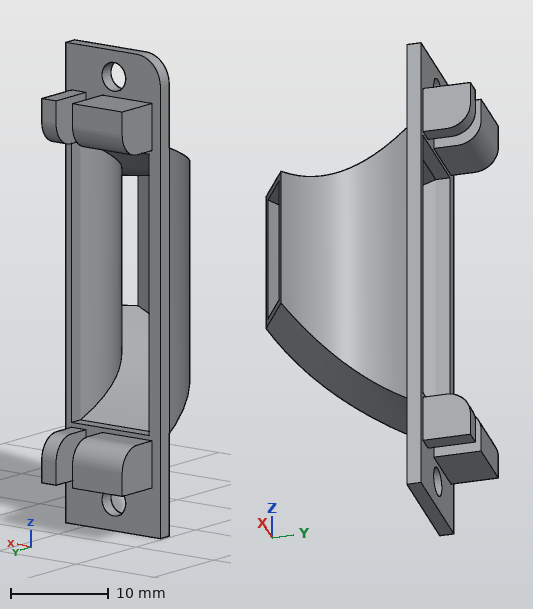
import cadquery as cq
import math

plate_width = 12.15
plate_height = 50.3
plate_thickness = 1.5
corner_radius = 3
hole_diameter = 3
hole_x = 6.0
hole_heights = (3.05, 47.55)

peg_depth = 5.05
peg_height = 4.95
peg_radius = 2.5
lower_peg_bottom = 5.2
upper_peg_bottom = 40.5
peg_spans = ((1.05, 7.45), (9.55, 11.4))

wall = 0.75
inlet = ((0.7, 0), (plate_width, 0), 9.85, 40.8)
middle = ((4.25, -8.95), (12.05, -6.45), 14.65, 36.95)
outlet = ((14.15, -14.4), (19.25, -11.3), 18.85, 33.95)


def make_plate():
    plate = cq.Workplane("XY").box(plate_width, plate_thickness, plate_height, centered=False)
    return plate.edges("|Y and <X and >Z").fillet(corner_radius)


def make_pegs(bottom, rounded_edge):
    """Row of pegs with one long back edge rounded."""
    pegs = cq.Workplane("XY")
    for start, end in peg_spans:
        peg = (
            cq.Workplane("XY", origin=(start, plate_thickness, bottom))
            .box(end - start, peg_depth, peg_height, centered=False)
            .edges(rounded_edge)
            .fillet(peg_radius)
        )
        pegs = pegs.add(peg)
    return pegs.combine()


def section_wire(section, inset):
    """Upright rectangular duct section, shrunk by inset on all sides."""
    (outer_x, outer_y), (inner_x, inner_y), bottom, top = section
    length = math.hypot(inner_x - outer_x, inner_y - outer_y)
    step_x = inset * (inner_x - outer_x) / length
    step_y = inset * (inner_y - outer_y) / length
    corners = [
        cq.Vector(outer_x + step_x, outer_y + step_y, bottom + inset),
        cq.Vector(inner_x - step_x, inner_y - step_y, bottom + inset),
        cq.Vector(inner_x - step_x, inner_y - step_y, top - inset),
        cq.Vector(outer_x + step_x, outer_y + step_y, top - inset),
    ]
    return cq.Wire.makePolygon(corners, close=True)


def make_duct(inset):
    """Smooth curved loft through the three duct sections."""
    wires = [section_wire(section, inset) for section in (inlet, middle, outlet)]
    return cq.Workplane(obj=cq.Solid.makeLoft(wires))


def make_plate_opening():
    """Straight continuation of the duct passage through the plate."""
    (left, _), (right, _), bottom, top = inlet
    return cq.Workplane("XY", origin=(left + wall, 0, bottom + wall)).box(
        right - left - 2 * wall, plate_thickness, top - bottom - 2 * wall, centered=False
    )


def make_holes():
    return (
        cq.Workplane("XZ")
        .pushPoints([(hole_x, height) for height in hole_heights])
        .circle(hole_diameter / 2)
        .extrude(-plate_thickness)
    )


body = make_plate().union(make_duct(0))
body = body.union(make_pegs(lower_peg_bottom, "|X and >Y and >Z"))
body = body.union(make_pegs(upper_peg_bottom, "|X and >Y and <Z"))
result = body.cut(make_duct(wall)).cut(make_plate_opening()).cut(make_holes())